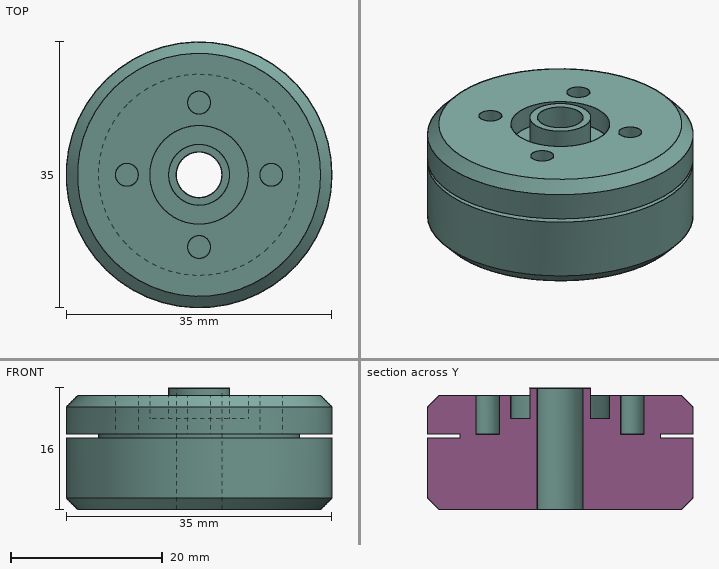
import cadquery as cq

outer_diameter = 35.0
total_height = 16.0
rim_chamfer = 1.5

lower_body_top = 9.45
upper_body_bottom = 9.95
upper_body_top = 15.0
neck_diameter = 26.5

tube_outer_diameter = 8.0
bore_diameter = 6.0
recess_diameter = 13.0
recess_depth = 3.0

hole_diameter = 3.0
hole_circle_diameter = 19.0
hole_count = 4
hole_depth = upper_body_top - upper_body_bottom


def cylinder(diameter, bottom, top):
    """Vertical cylinder on the Z axis between two heights."""
    return cq.Workplane("XY").workplane(offset=bottom).circle(diameter / 2).extrude(top - bottom)


lower_body = cylinder(outer_diameter, 0, lower_body_top).faces("<Z").chamfer(rim_chamfer)
upper_body = cylinder(outer_diameter, upper_body_bottom, upper_body_top).faces(">Z").chamfer(rim_chamfer)
neck = cylinder(neck_diameter, lower_body_top, upper_body_bottom)
body = lower_body.union(neck).union(upper_body)

mounting_holes = (
    cq.Workplane("XY")
    .workplane(offset=upper_body_top - hole_depth)
    .polarArray(hole_circle_diameter / 2, 0, 360, hole_count)
    .circle(hole_diameter / 2)
    .extrude(hole_depth)
)
body = body.cut(mounting_holes)

recess_floor = upper_body_top - recess_depth
body = body.cut(cylinder(recess_diameter, recess_floor, upper_body_top))
tube = cylinder(tube_outer_diameter, recess_floor, total_height)
bore = cylinder(bore_diameter, 0, total_height)

result = body.union(tube).cut(bore)